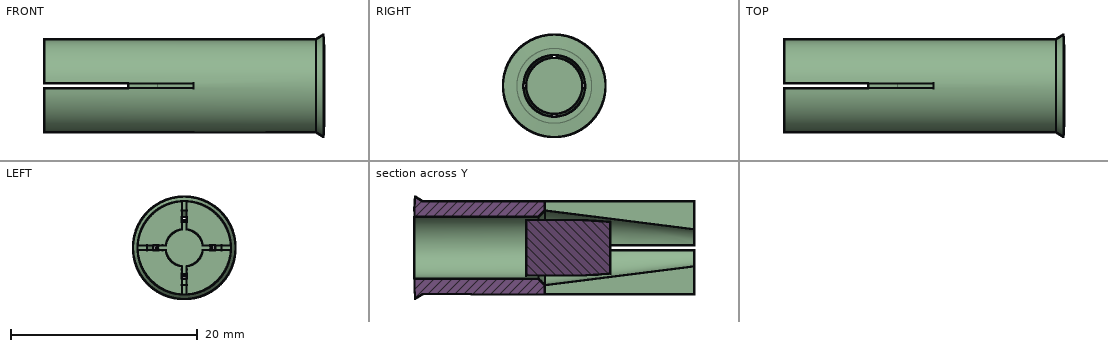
import cadquery as cq

LENGTH = 30.0
SLEEVE_RADIUS = LENGTH / 6
SLOT_LENGTH = 16.0
SLOT_WIDTH = 0.5

FLARE_START = 29.1
RIM_X = 29.9
RIM_RADIUS = 11.0 / 2
END_FACE_RADIUS = 8.0 / 2

TIP_BORE_RADIUS = 4.0 / 2
CHAMBER_RADIUS = 8.0 / 2
STRAIGHT_BORE_RADIUS = 6.6 / 2

PLUG_START = 9.0
PLUG_TAPER_LENGTH = 3.12
PLUG_END = 18.0
PLUG_RADIUS = 6.0 / 2
PLUG_NOSE_RADIUS = 2.8


def revolve_about_x(profile):
    """Revolve a closed outline of (x, radius) points about the X axis."""
    return cq.Workplane("XZ").polyline(profile).close().revolve(360, (0, 0), (1, 0))


def make_sleeve():
    bore_neck_end = SLOT_LENGTH + CHAMBER_RADIUS - STRAIGHT_BORE_RADIUS
    sleeve = revolve_about_x([
        (0, TIP_BORE_RADIUS),
        (0, SLEEVE_RADIUS),
        (FLARE_START, SLEEVE_RADIUS),
        (RIM_X, RIM_RADIUS),
        (LENGTH, END_FACE_RADIUS),
        (LENGTH, STRAIGHT_BORE_RADIUS),
        (bore_neck_end, STRAIGHT_BORE_RADIUS),
        (SLOT_LENGTH, CHAMBER_RADIUS),
    ])
    across = 2 * RIM_RADIUS
    for width_y, width_z in ((across, SLOT_WIDTH), (SLOT_WIDTH, across)):
        slot = cq.Workplane("XY").box(SLOT_LENGTH, width_y, width_z, centered=(False, True, True))
        sleeve = sleeve.cut(slot)
    return sleeve


def make_plug():
    return revolve_about_x([
        (PLUG_START, 0),
        (PLUG_START, PLUG_NOSE_RADIUS),
        (PLUG_START + PLUG_TAPER_LENGTH, PLUG_RADIUS),
        (PLUG_END, PLUG_RADIUS),
        (PLUG_END, 0),
    ])


sleeve = make_sleeve()
plug = make_plug()
result = cq.Compound.makeCompound([sleeve.val(), plug.val()])